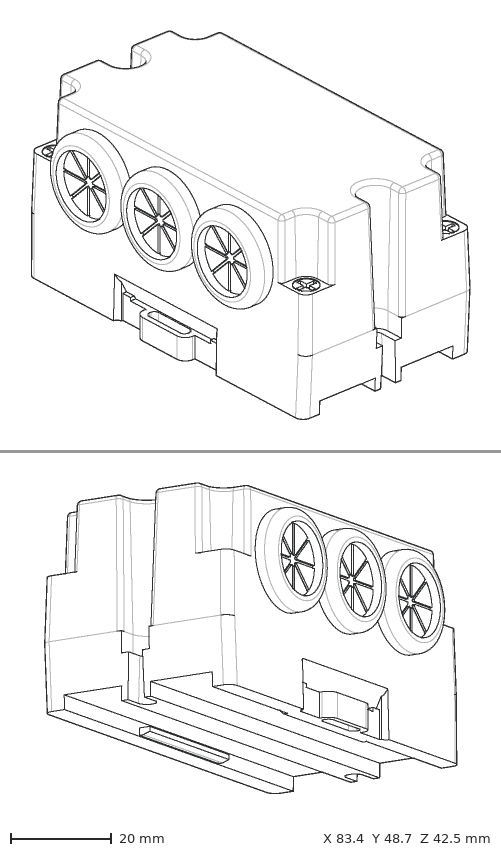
import cadquery as cq
import math

length = 83.36
height = 42.5
back_y = 22.5
front_y = -22.38
parting_z = 14.25
draft = 1.5
corner_radius = 2.0
lid_edge_radius = 1.0
margin = 10.0

half_length = length / 2
draft_slope = math.tan(math.radians(draft))
base_shrink = parting_z * draft_slope
front_bottom_y = front_y - base_shrink

screw_floor_z = 27.8
notch_x = 34.2
notch_y = 15.1
notch_radius = 3.0
screw_x = 37.6
screw_y = 18.4
screw_diameter = 5.5
screw_sink = 0.2
cross_length = 4.5
cross_width = 0.9
cross_depth = 1.0

slot_center_x = 37.5
counter_slot_width = 6.56
counter_slot_floor_z = 9.7
bolt_slot_bottom_width = 3.9
bolt_slot_draft = 1.75

gland_diameter = 21.0
gland_bore = 15.0
gland_pitch = 21.2
gland_count = 3
gland_z = 29.2
gland_tip_y = -26.22
gland_edge_radius = 2.0
gland_recess = 2.0
gland_root = 1.0
spoke_count = 8
spoke_width = 0.6
spoke_depth = 0.5
hub_diameter = 2.5

channel_height = 3.0
rib_half_width = 3.45
rear_channel_y = 17.1
front_channel_y = -18.15
hook_half_length = 14.3
hook_overlap = 0.5
hook_flat = 0.9
hook_lip = 1.0
rear_hook_reach = 2.5
rear_hook_low_z = 0.2
rear_hook_high_z = 1.7
front_hook_reach = 1.95
front_hook_low_z = 0.0
front_hook_high_z = 1.95

window_half_width = 15.4
window_top_z = 10.45
window_edge_radius = 1.1
window_depth = 2.9
clip_setback = 1.5
clip_top_z = 5.3
clip_stop_height = 0.8
clip_stop_x = 12.0
tongue_half_width = 7.36
tongue_tip_y = -24.05
tongue_radius = 2.2
tongue_wall = 1.3
tongue_end_wall = 1.6
finger_hole_radius = 1.1
finger_hole_back_wall = 0.4

clip_y = front_bottom_y + clip_setback
window_back_y = front_bottom_y + window_depth

sides = (-1, 1)


def block(x0, x1, y0, y1, z0, z1):
    return cq.Workplane("XY").box(x1 - x0, y1 - y0, z1 - z0, centered=False).translate((x0, y0, z0))


def box_outline(plane, x_half, y_low, y_high):
    return plane.center(0, (y_low + y_high) / 2).rect(2 * x_half, y_high - y_low)


def end_slot(side, width, z0, z1, taper):
    """Round-ended slot, open toward one end of the box."""
    radius = width / 2
    outer_x = half_length + margin
    slot = (
        cq.Workplane("XY")
        .moveTo(outer_x, radius)
        .lineTo(slot_center_x, radius)
        .threePointArc((slot_center_x - radius, 0), (slot_center_x, -radius))
        .lineTo(outer_x, -radius)
        .close()
        .extrude(z1 - z0, taper=taper)
        .translate((0, 0, z0))
    )
    return slot if side > 0 else slot.mirror("YZ")


def screw_notch(side_x, side_y):
    """Corner notch above a lid screw, widening upward with the lid draft."""
    outer_x = half_length + margin
    outer_y = back_y + margin
    notch = (
        cq.Workplane("XY")
        .moveTo(outer_x, notch_y)
        .lineTo(notch_x + notch_radius, notch_y)
        .radiusArc((notch_x, notch_y + notch_radius), notch_radius)
        .lineTo(notch_x, outer_y)
        .lineTo(outer_x, outer_y)
        .close()
        .extrude(height - screw_floor_z, taper=-draft)
        .translate((0, 0, screw_floor_z))
    )
    if side_x < 0:
        notch = notch.mirror("YZ")
    if side_y < 0:
        notch = notch.mirror("XZ")
    return notch


def upright_edge_points():
    """Mid points of the outside upright edges of the screw notches and end slots."""
    notch_mid_z = (screw_floor_z + height) / 2
    slot_mid_z = (parting_z + height) / 2
    notch_lean = draft_slope * (notch_mid_z - screw_floor_z)
    wall_inset = draft_slope * (notch_mid_z - parting_z)
    slot_lean = draft_slope * (slot_mid_z - parting_z)
    points = []
    for side_x in sides:
        for side_y in sides:
            wall_y = back_y - wall_inset if side_y > 0 else front_y + wall_inset
            points.append((side_x * (notch_x - notch_lean), wall_y, notch_mid_z))
            points.append((side_x * (half_length - wall_inset), side_y * (notch_y - notch_lean), notch_mid_z))
            slot_edge_y = side_y * (counter_slot_width / 2 + slot_lean)
            points.append((side_x * (half_length - slot_lean), slot_edge_y, slot_mid_z))
    return points


def make_lid():
    plane = cq.Workplane("XY", origin=(0, 0, parting_z))
    lid = box_outline(plane, half_length, front_y, back_y).extrude(height - parting_z, taper=draft)
    lid = lid.edges("not(#Z or |X or |Y)").fillet(corner_radius)
    for side_x in sides:
        lid = lid.cut(end_slot(side_x, counter_slot_width, parting_z, height, -draft))
        for side_y in sides:
            lid = lid.cut(screw_notch(side_x, side_y))

    uprights = [cq.NearestToPointSelector(point) for point in upright_edge_points()]
    selector = uprights[0]
    for upright in uprights[1:]:
        selector = selector + upright
    lid = lid.edges(selector).fillet(lid_edge_radius)
    return lid.faces(">Z").edges().fillet(lid_edge_radius)


def make_base():
    """Lower shell: three walls taper inward going down, the gland wall leans outward."""
    bottom_half_length = half_length - base_shrink
    bottom = box_outline(cq.Workplane("XY"), bottom_half_length, front_bottom_y, back_y - base_shrink)
    top = box_outline(bottom.workplane(offset=parting_z, origin=(0, 0, 0)), half_length, front_y, back_y)
    base = top.loft(ruled=True)
    return base.edges("not(#Z or |X or |Y)").fillet(corner_radius)


def cut_base_slots(body):
    for side in sides:
        body = body.cut(end_slot(side, counter_slot_width, counter_slot_floor_z, parting_z, 0))
        body = body.cut(end_slot(side, bolt_slot_bottom_width, 0, counter_slot_floor_z, bolt_slot_draft))
    return body


def cut_screws(body):
    """Recessed cross-head screw in each corner notch."""
    head_z = screw_floor_z - screw_sink
    for side_x in sides:
        for side_y in sides:
            head = cq.Workplane("XY", origin=(side_x * screw_x, side_y * screw_y, head_z))
            body = body.cut(head.circle(screw_diameter / 2).extrude(screw_sink))
            body = body.cut(head.rect(cross_length, cross_width).extrude(-cross_depth))
            body = body.cut(head.rect(cross_width, cross_length).extrude(-cross_depth))
    return body


def make_gland():
    """Cable gland on the Y axis: rounded ring around a membrane scored with spokes and a hub."""
    membrane_y = gland_tip_y + gland_recess
    body_length = -gland_tip_y + front_y + gland_root
    tip = cq.Workplane("XZ", origin=(0, gland_tip_y, 0))
    gland = tip.circle(gland_diameter / 2).extrude(-body_length)
    gland = gland.faces("<Y").edges().fillet(gland_edge_radius)
    gland = gland.cut(tip.circle(gland_bore / 2).extrude(-gland_recess))
    membrane = cq.Workplane("XZ", origin=(0, membrane_y, 0))
    gland = gland.cut(membrane.circle(hub_diameter / 2).extrude(-spoke_depth))
    for index in range(spoke_count // 2):
        spoke = membrane.rect(gland_bore, spoke_width).extrude(-spoke_depth)
        spoke = spoke.intersect(membrane.circle(gland_bore / 2).extrude(-spoke_depth))
        gland = gland.cut(spoke.rotate((0, 0, 0), (0, 1, 0), index * 360 / spoke_count))
    return gland


def add_glands(body):
    gland = make_gland()
    for index in range(gland_count):
        x = (index - (gland_count - 1) / 2) * gland_pitch
        body = body.union(gland.translate((x, 0, gland_z)))
    return body


def cut_rail_channels(body):
    end_x = half_length + margin
    for y0, y1 in ((rib_half_width, rear_channel_y), (front_channel_y, -rib_half_width)):
        body = body.cut(block(-end_x, end_x, y0, y1, 0, channel_height))
    return body


def rail_hook(wall_y, direction, reach, low_z, high_z):
    """Hook growing from a channel wall, chamfered below its tip."""
    tip_y = wall_y + direction * reach
    profile = cq.Workplane("YZ", origin=(-hook_half_length, 0, 0)).polyline([
        (wall_y - direction * hook_overlap, low_z),
        (wall_y + direction * hook_flat, low_z),
        (tip_y, high_z - hook_lip),
        (tip_y, high_z),
        (wall_y - direction * hook_overlap, high_z),
    ])
    return profile.close().extrude(2 * hook_half_length)


def add_hooks(body):
    rear = rail_hook(rear_channel_y, -1, rear_hook_reach, rear_hook_low_z, rear_hook_high_z)
    front = rail_hook(front_channel_y, 1, front_hook_reach, front_hook_low_z, front_hook_high_z)
    return body.union(rear).union(front)


def cut_window(body):
    """Window in the gland wall; its ceiling slopes back down to the top of the clip."""
    clear_half_width = window_half_width - window_edge_radius
    wall_y = front_y - (parting_z - window_top_z) * draft_slope
    ceiling_slope = (window_top_z - clip_top_z) / (window_back_y - wall_y)
    outside_y = front_bottom_y - margin
    section = cq.Workplane("YZ", origin=(-window_half_width, 0, 0)).polyline([
        (clip_y, 0),
        (clip_y, clip_top_z),
        (window_back_y, clip_top_z),
        (outside_y, clip_top_z + ceiling_slope * (window_back_y - outside_y)),
        (outside_y, 0),
    ])
    ceiling_cut = section.close().extrude(2 * window_half_width)

    round_y = front_bottom_y + window_edge_radius
    plan = (
        cq.Workplane("XY")
        .moveTo(-clear_half_width, window_back_y)
        .lineTo(-clear_half_width, round_y)
        .radiusArc((-window_half_width, front_bottom_y), -window_edge_radius)
        .lineTo(-window_half_width, outside_y)
        .lineTo(window_half_width, outside_y)
        .lineTo(window_half_width, front_bottom_y)
        .radiusArc((clear_half_width, round_y), -window_edge_radius)
        .lineTo(clear_half_width, window_back_y)
        .close()
        .extrude(parting_z)
    )
    return body.cut(plan.intersect(ceiling_cut))


def add_clip(body):
    """Release tongue with a finger hole, and the end stops on the clip plate."""
    tongue = block(-tongue_half_width, tongue_half_width, tongue_tip_y, window_back_y, 0, clip_top_z)
    tongue = tongue.edges("|Z and <Y").fillet(tongue_radius)
    hole = block(
        tongue_end_wall - tongue_half_width,
        tongue_half_width - tongue_end_wall,
        tongue_tip_y + tongue_wall,
        window_back_y - finger_hole_back_wall,
        0,
        clip_top_z,
    )
    hole = hole.edges("|Z").fillet(finger_hole_radius)
    body = body.union(tongue).cut(hole)
    stop_end = window_half_width - window_edge_radius
    stop = block(clip_stop_x, stop_end, clip_y, window_back_y, clip_top_z, clip_top_z + clip_stop_height)
    return body.union(stop).union(stop.mirror("YZ"))


result = make_lid().union(cut_base_slots(make_base()))
result = cut_screws(result)
result = add_glands(result)
result = cut_rail_channels(result)
result = add_hooks(result)
result = cut_window(result)
result = add_clip(result)